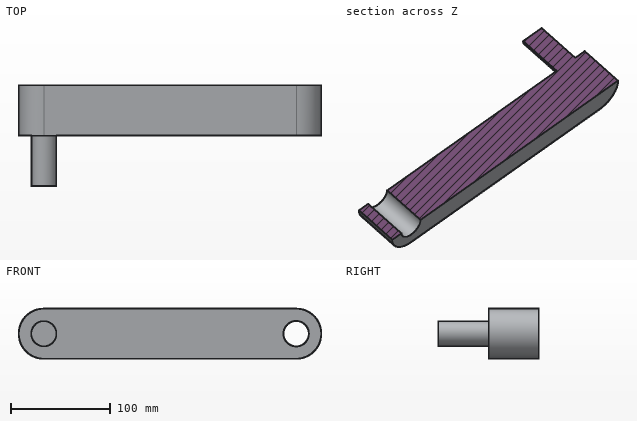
import cadquery as cq

center_distance = 254.0
arm_width = 50.8
arm_thickness = 50.8
pin_diameter = 25.4
pin_length = 50.8
hole_diameter = 25.4

pin_x = -center_distance / 2
hole_x = center_distance / 2


def make_arm():
    """Straight arm with full-round ends, running from the front face toward +Y."""
    return (
        cq.Workplane("XZ")
        .slot2D(center_distance + arm_width, arm_width)
        .extrude(-arm_thickness)
    )


def make_pin():
    """Round handle pin, rooted in the arm's front face and pointing toward -Y."""
    return (
        cq.Workplane("XZ")
        .center(pin_x, 0)
        .circle(pin_diameter / 2)
        .extrude(pin_length)
    )


def make_hole():
    """Shaft hole passing through the full thickness of the arm."""
    return (
        cq.Workplane("XZ")
        .center(hole_x, 0)
        .circle(hole_diameter / 2)
        .extrude(-arm_thickness)
    )


result = make_arm().union(make_pin()).cut(make_hole())